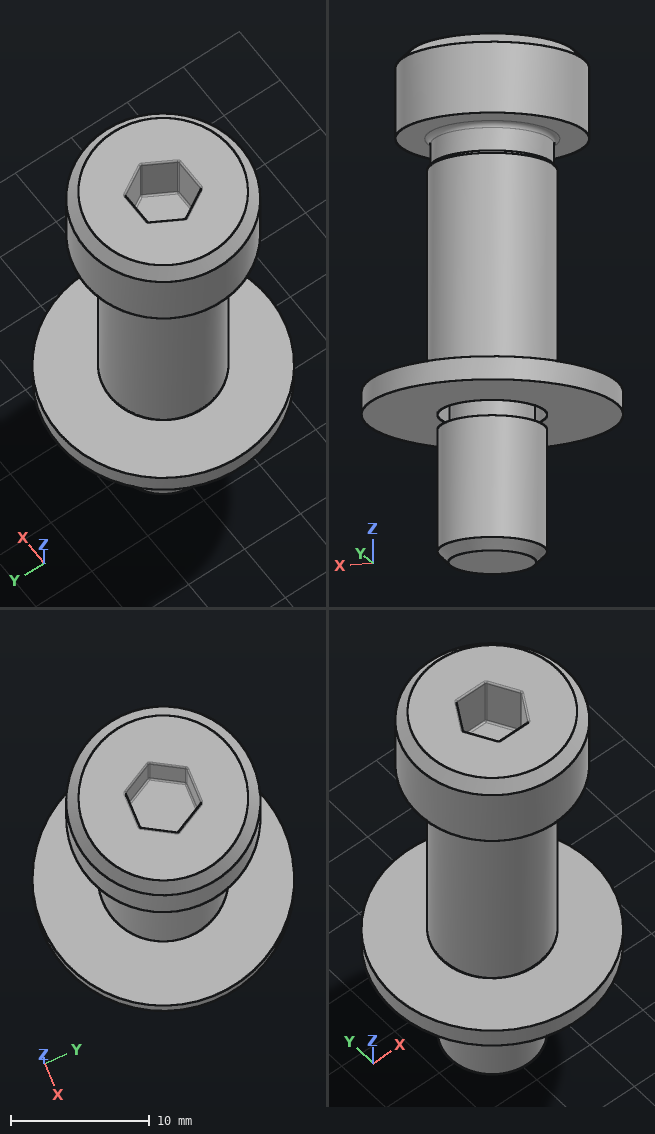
import cadquery as cq
import math

head_height = 6.2
neck_length = 2.38
shoulder_length = 18.97
relief_length = 2.88
thread_length = 9.92

head_diameter = 14.03
head_chamfer = 0.89

neck_diameter = 8.94
neck_fillet = 0.41

shoulder_diameter = 9.45
shoulder_end_chamfer = 0.12

thread_diameter = 7.94
relief_diameter = 6.17
thread_chamfer = 0.79

socket_flats = 4.76
socket_depth = 4.5
socket_fillet = 0.14

washer_diameter = 18.92
washer_hole_diameter = 7.92
washer_thickness = 1.73

shoulder_top_z = -neck_length
shoulder_end_z = -shoulder_length
thread_top_z = shoulder_end_z - relief_length
screw_end_z = thread_top_z - thread_length


def make_screw_blank():
    """Revolve half of the screw section about the Z axis."""
    head_radius = head_diameter / 2
    neck_radius = neck_diameter / 2
    shoulder_radius = shoulder_diameter / 2
    relief_radius = relief_diameter / 2
    thread_radius = thread_diameter / 2
    shoulder_step = shoulder_radius - neck_radius
    fillet_middle = neck_fillet * (1 - math.sqrt(0.5))
    section = (
        cq.Workplane("XZ")
        .moveTo(0, head_height)
        .lineTo(head_radius - head_chamfer, head_height)
        .lineTo(head_radius, head_height - head_chamfer)
        .lineTo(head_radius, 0)
        .lineTo(neck_radius + neck_fillet, 0)
        .threePointArc(
            (neck_radius + fillet_middle, -fillet_middle),
            (neck_radius, -neck_fillet),
        )
        .lineTo(neck_radius, shoulder_top_z + shoulder_step)
        .lineTo(shoulder_radius, shoulder_top_z)
        .lineTo(shoulder_radius, shoulder_end_z + shoulder_end_chamfer)
        .lineTo(shoulder_radius - shoulder_end_chamfer, shoulder_end_z)
        .lineTo(relief_radius, shoulder_end_z)
        .lineTo(relief_radius, thread_top_z)
        .lineTo(thread_radius, thread_top_z)
        .lineTo(thread_radius, screw_end_z + thread_chamfer)
        .lineTo(thread_radius - thread_chamfer, screw_end_z)
        .lineTo(0, screw_end_z)
        .close()
    )
    return section.revolve(360, (0, 0, 0), (0, 1, 0))


def make_socket():
    """Hexagon socket with two corners on the X axis and rounded corner and floor edges."""
    corner_diameter = socket_flats / math.cos(math.pi / 6)
    return (
        cq.Workplane("XY")
        .workplane(offset=head_height)
        .polygon(6, corner_diameter)
        .extrude(-socket_depth)
        .edges("|Z or <Z")
        .fillet(socket_fillet)
    )


def make_screw():
    """Cut the socket and round its rim; the fillet follows the rim's tangent edges."""
    socketed = make_screw_blank().cut(make_socket())
    return socketed.faces(">Z").edges("%LINE and >Y").fillet(socket_fillet)


def make_washer():
    return (
        cq.Workplane("XY")
        .workplane(offset=shoulder_end_z)
        .circle(washer_diameter / 2)
        .circle(washer_hole_diameter / 2)
        .extrude(-washer_thickness)
    )


screw = make_screw()
washer = make_washer()

result = cq.Compound.makeCompound([screw.val(), washer.val()])